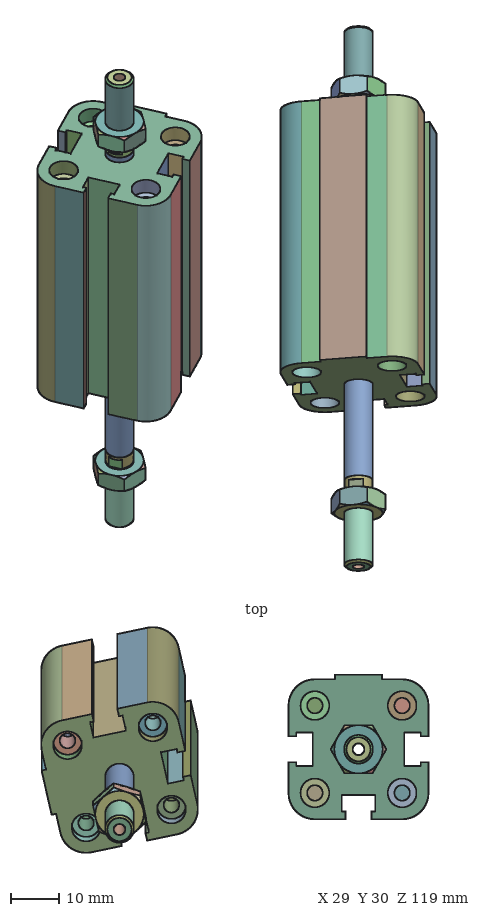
import cadquery as cq
import math

TOTAL_LENGTH = 119.0
HOUSING_HEIGHT = 58.1
TOP_PROTRUSION = 20.5
BOTTOM_PROTRUSION = TOTAL_LENGTH - HOUSING_HEIGHT - TOP_PROTRUSION
ROD_TOP = HOUSING_HEIGHT + TOP_PROTRUSION
ROD_BOTTOM = -BOTTOM_PROTRUSION

HOUSING_WIDTH = 29.0
HALF_WIDTH = HOUSING_WIDTH / 2
MOUNT_OFFSET = 9.0
CORNER_RADIUS = HALF_WIDTH - MOUNT_OFFSET
PAD_WIDTH = 9.8
PAD_HEIGHT = 1.0
SLOT_MOUTH_WIDTH = 5.4
SLOT_INNER_WIDTH = 6.9
SLOT_DEPTH = 5.0
SLOT_LIP = 1.7
MOUNT_BORE_DIAMETER = 6.0
MOUNT_BORE_DEPTH = 3.5
MOUNT_HOLE_DIAMETER = 3.2
MOUNT_HOLE_DEPTH = 12.5

ROD_DIAMETER = 6.0
ROD_BORE_DIAMETER = 2.4
ROD_TIP_DIAMETER = 5.0
ROD_CHAMFER = (ROD_DIAMETER - ROD_TIP_DIAMETER) / 2
THREAD_LENGTH = 16.2
NECK_DIAMETER = 5.8
NECK_LENGTH = 3.0
FLATS_WIDTH = 5.0
FLATS_LENGTH = 2.5

NUT_ACROSS_FLATS = 10.0
NUT_HEIGHT = 4.0
NUT_SIDES = 6
NUT_CHAMFER_ANGLE = 30.0
NUT_INSET = 11.9


def make_slot(turn):
    """T-slot cutter for the -Y side, turned about Z by the given angle."""
    mouth = cq.Workplane("XY").rect(SLOT_MOUTH_WIDTH, 2 * SLOT_DEPTH).extrude(HOUSING_HEIGHT)
    mouth = mouth.translate((0, -HALF_WIDTH, 0))
    inner_length = SLOT_DEPTH - SLOT_LIP
    inner = cq.Workplane("XY").rect(SLOT_INNER_WIDTH, inner_length).extrude(HOUSING_HEIGHT)
    inner = inner.translate((0, -HALF_WIDTH + SLOT_LIP + inner_length / 2, 0))
    return mouth.union(inner).rotate((0, 0, 0), (0, 0, 1), turn)


def drill_mounts(body, face):
    """Drill the four counterbored blind mounting holes into one end face."""
    return (
        body.faces(face)
        .workplane(origin=(0, 0, 0))
        .rect(2 * MOUNT_OFFSET, 2 * MOUNT_OFFSET, forConstruction=True)
        .vertices()
        .cboreHole(MOUNT_HOLE_DIAMETER, MOUNT_BORE_DIAMETER, MOUNT_BORE_DEPTH, MOUNT_HOLE_DEPTH)
    )


def make_housing():
    body = cq.Workplane("XY").rect(HOUSING_WIDTH, HOUSING_WIDTH).extrude(HOUSING_HEIGHT)
    body = body.edges("|Z").fillet(CORNER_RADIUS)

    pad = cq.Workplane("XY").rect(PAD_WIDTH, 2 * PAD_HEIGHT).extrude(HOUSING_HEIGHT)
    body = body.union(pad.translate((0, HALF_WIDTH, 0)))

    for turn in (-90, 0, 90):
        body = body.cut(make_slot(turn))

    for face in (">Z", "<Z"):
        body = drill_mounts(body, face)

    rod_passage = cq.Workplane("XY").circle(ROD_DIAMETER / 2).extrude(HOUSING_HEIGHT)
    return body.cut(rod_passage)


def make_neck_relief(end, inward):
    """Ring removed around one neck; inward is +1 or -1, from the rod end to its middle."""
    plane = cq.Workplane("XY").workplane(offset=end + inward * THREAD_LENGTH)
    return plane.circle(ROD_DIAMETER).circle(NECK_DIAMETER / 2).extrude(inward * NECK_LENGTH)


def make_flats_cutter(end, inward):
    """Material removed beside the two wrench flats, which start at the inner face of the nut."""
    plane = cq.Workplane("XY").workplane(offset=end + inward * (NUT_INSET + NUT_HEIGHT))
    block = plane.rect(2 * ROD_DIAMETER, 2 * ROD_DIAMETER).extrude(inward * FLATS_LENGTH)
    kept = plane.rect(2 * ROD_DIAMETER, FLATS_WIDTH).extrude(inward * FLATS_LENGTH)
    return block.cut(kept)


def make_rod():
    rod = cq.Workplane("XY").workplane(offset=ROD_BOTTOM).circle(ROD_DIAMETER / 2).extrude(TOTAL_LENGTH)
    rod = rod.faces("<Z or >Z").chamfer(ROD_CHAMFER)
    for end, inward in ((ROD_TOP, -1), (ROD_BOTTOM, 1)):
        rod = rod.cut(make_neck_relief(end, inward))
        rod = rod.cut(make_flats_cutter(end, inward))
    return rod.faces(">Z").workplane().hole(ROD_BORE_DIAMETER)


def make_nut(base):
    """Hexagon nut with corners on X, both ends chamfered, standing at the given height."""
    face_radius = NUT_ACROSS_FLATS / 2
    corner_radius = face_radius / math.cos(math.pi / NUT_SIDES)
    chamfer_height = (corner_radius - face_radius) * math.tan(math.radians(NUT_CHAMFER_ANGLE))

    nut = cq.Workplane("XY").polygon(NUT_SIDES, 2 * corner_radius).extrude(NUT_HEIGHT)
    envelope = (
        cq.Workplane("XY")
        .circle(corner_radius)
        .extrude(NUT_HEIGHT)
        .faces("<Z or >Z")
        .chamfer(chamfer_height, corner_radius - face_radius)
    )
    nut = nut.intersect(envelope)
    nut = nut.faces(">Z").workplane().hole(ROD_DIAMETER)
    return nut.translate((0, 0, base))


housing = make_housing()
piston_rod = make_rod()
nuts = [make_nut(base) for base in (ROD_TOP - NUT_INSET - NUT_HEIGHT, ROD_BOTTOM + NUT_INSET)]

result = cq.Compound.makeCompound([housing.val(), piston_rod.val(), *[nut.val() for nut in nuts]])